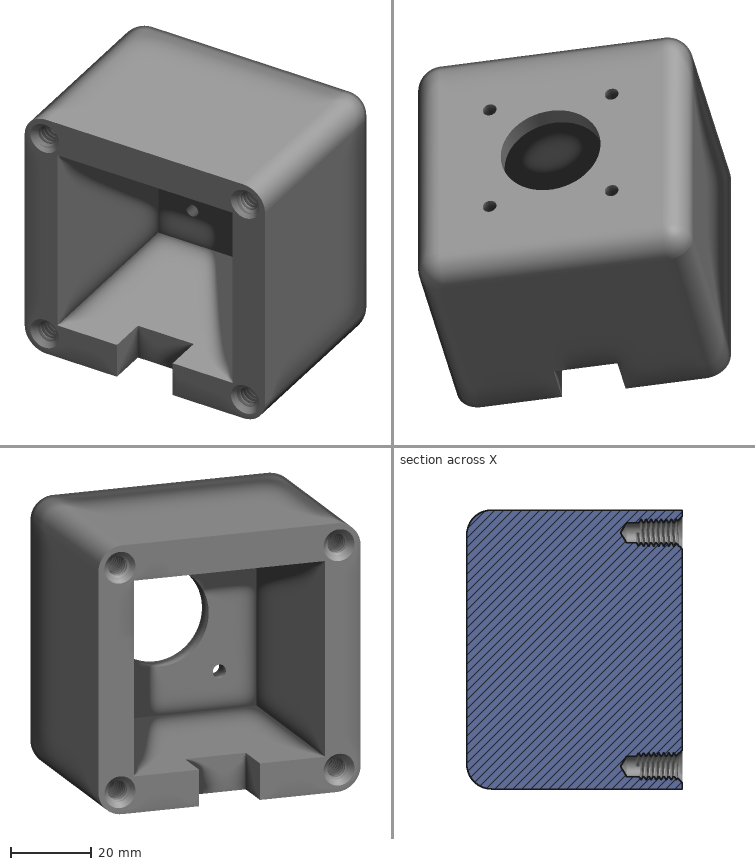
import cadquery as cq
import math

width = 69.85
depth = 54.0
corner_radius = 6.35

cavity_size = 50.85
cavity_depth = 49.2
wall = (width - cavity_size) / 2

notch_width = 16.2
notch_depth = 10.2

shaft_hole_diameter = 25.4
mount_hole_diameter = 3.5
mount_hole_pitch = 31.1

screw_pitch = 58.3
countersink_diameter = 8.25
thread_minor_diameter = 4.95
thread_major_diameter = 6.65
thread_pitch = 1.25
thread_start = 0.6
thread_length = 10.7
screw_hole_depth = 14.0
countersink_half_angle = 45.0
drill_point_half_angle = 59.0

groove_overlap = 0.15
groove_half_angle = 30.0


def square_pattern(pitch):
    """Corner points of a centred square in the XZ plane."""
    half = pitch / 2
    return [(x, z) for x in (-half, half) for z in (-half, half)]


def back_box(size_x, length, size_z):
    """Box centred in X and Z, running back from the front face."""
    return cq.Workplane("XY").box(size_x, length, size_z, centered=(True, False, True))


def make_shell():
    body = back_box(width, depth, width).edges("|Y").fillet(corner_radius)
    body = body.faces(">Y").edges().fillet(corner_radius)
    return body.cut(back_box(cavity_size, cavity_depth, cavity_size))


def make_notch():
    notch = back_box(notch_width, notch_depth, wall)
    return notch.translate((0, 0, -(width - wall) / 2))


def through_holes(diameter, points):
    return cq.Workplane("XZ").pushPoints(points).circle(diameter / 2).extrude(-depth)


def screw_bore():
    """Bore along +Z: countersink, straight core and drill point, revolved."""
    core = thread_minor_diameter / 2
    mouth = countersink_diameter / 2
    countersink_depth = (mouth - core) / math.tan(math.radians(countersink_half_angle))
    tip = screw_hole_depth + core / math.tan(math.radians(drill_point_half_angle))
    profile = [(0, 0), (mouth, 0), (core, countersink_depth), (core, screw_hole_depth), (0, tip)]
    return cq.Workplane("XZ").polyline(profile).close().revolve(360, (0, 0), (0, 1))


def thread_groove():
    """Sharp V groove swept along a right-handed helix about +Z."""
    inner = thread_minor_diameter / 2 - groove_overlap
    outer = thread_major_diameter / 2
    half_height = (outer - inner) * math.tan(math.radians(groove_half_angle))
    helix = cq.Wire.makeHelix(thread_pitch, thread_length, inner)
    section = cq.Workplane("XZ").polyline([(inner, -half_height), (outer, 0), (inner, half_height)]).close()
    groove = section.sweep(cq.Workplane(helix), isFrenet=True)
    return groove.translate((0, 0, thread_start))


def make_screw_holes():
    """One threaded hole at the top right corner, mirrored left and then down."""
    offset = screw_pitch / 2
    right = [
        tool.rotate((0, 0, 0), (1, 0, 0), -90).translate((offset, 0, offset))
        for tool in (screw_bore(), thread_groove())
    ]
    top = right + [tool.mirror("YZ") for tool in right]
    return top + [tool.mirror("XY") for tool in top]


result = make_shell().cut(make_notch())
result = result.cut(through_holes(shaft_hole_diameter, [(0, 0)]))
result = result.cut(through_holes(mount_hole_diameter, square_pattern(mount_hole_pitch)))
for tool in make_screw_holes():
    result = result.cut(tool)